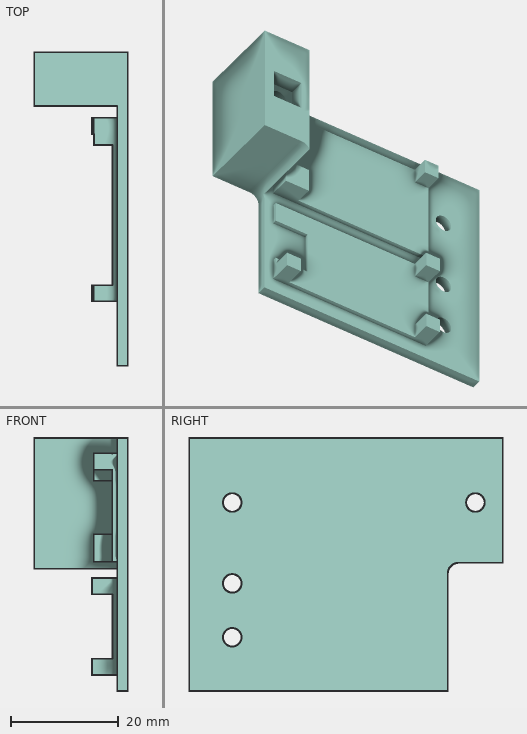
import cadquery as cq

plate_thickness = 2.0
plate_width = 48.0
plate_height = 47.0

total_width = 58.2
block_depth = 17.4
block_width = 10.0
block_height = 23.2
corner_radius = 2.0

hole_diameter = 3.4
plate_hole_y = 8.0
plate_hole_drops = (12.0, 27.0, 37.0)
block_hole_y = (plate_width + total_width) / 2
block_hole_drop = plate_hole_drops[0]
pocket_side = 6.1
pocket_depth = 3.1

seat_length = 34.1
seat_y = 11.95
seat_level = 2.9
upper_seat_drop = 2.9
upper_seat_height = 20.1
upper_post_level = 6.3
lower_seat_drop = 26.0
lower_seat_height = 18.0
lower_post_level = 6.7
small_post = 3.05
large_post = 5.1

notch_length = 7.1
notch_height = 9.1
notch_offset = 4.35
notch_drop = lower_seat_drop + notch_offset


def box(level_from, level_to, y_start, width, drop, height):
    """Box between two levels above the back face, hanging down from Z = -drop."""
    return (
        cq.Workplane("XY")
        .box(level_to - level_from, width, height, centered=False)
        .translate((-level_to, y_start, -drop - height))
    )


def make_base():
    """Plate and block, with the inside corner between them rounded."""
    plate = box(0, plate_thickness, 0, plate_width, 0, plate_height)
    tab = box(0, plate_thickness, plate_width, total_width - plate_width, 0, block_height)
    block_y = total_width - block_width
    block = box(0, block_depth, block_y, block_width, 0, block_height)
    web = box(0, block_depth, plate_width, corner_radius, block_height, corner_radius)
    web_round = (
        cq.Workplane("YZ")
        .center(plate_width + corner_radius, -block_height - corner_radius)
        .circle(corner_radius)
        .extrude(-block_depth)
    )
    beside_block = box(
        plate_thickness, block_depth, plate_width, block_y - plate_width,
        block_height, corner_radius,
    )
    return plate.union(tab).union(block).union(web.cut(web_round).cut(beside_block))


def make_seat(drop, height, post_level, posts):
    """Seat with posts, each given as (side, at free edge end, at top)."""
    seat = box(0, seat_level, seat_y, seat_length, drop, height)
    for side, at_free_end, at_top in posts:
        post_y = seat_y if at_free_end else seat_y + seat_length - side
        post_drop = drop if at_top else drop + height - side
        seat = seat.union(box(0, post_level, post_y, side, post_drop, side))
    return seat


def make_upper_seat():
    posts = (
        (large_post, False, True),
        (large_post, False, False),
        (small_post, True, True),
    )
    return make_seat(upper_seat_drop, upper_seat_height, upper_post_level, posts)


def make_lower_seat():
    posts = (
        (small_post, False, False),
        (small_post, True, True),
        (small_post, True, False),
    )
    seat = make_seat(lower_seat_drop, lower_seat_height, lower_post_level, posts)
    notch_y = seat_y + seat_length - notch_length
    notch = box(plate_thickness, seat_level, notch_y, notch_length, notch_drop, notch_height)
    return seat.cut(notch)


def make_holes():
    """Through holes of the plate and the block, all along X."""
    centres = [(plate_hole_y, -drop) for drop in plate_hole_drops]
    centres.append((block_hole_y, -block_hole_drop))
    return (
        cq.Workplane("YZ")
        .pushPoints(centres)
        .circle(hole_diameter / 2)
        .extrude(-block_depth)
    )


def make_pocket():
    """Square pocket in the front face of the block, around the screw hole."""
    return box(
        block_depth - pocket_depth, block_depth,
        block_hole_y - pocket_side / 2, pocket_side,
        block_hole_drop - pocket_side / 2, pocket_side,
    )


result = (
    make_base()
    .union(make_upper_seat())
    .union(make_lower_seat())
    .cut(make_holes())
    .cut(make_pocket())
)